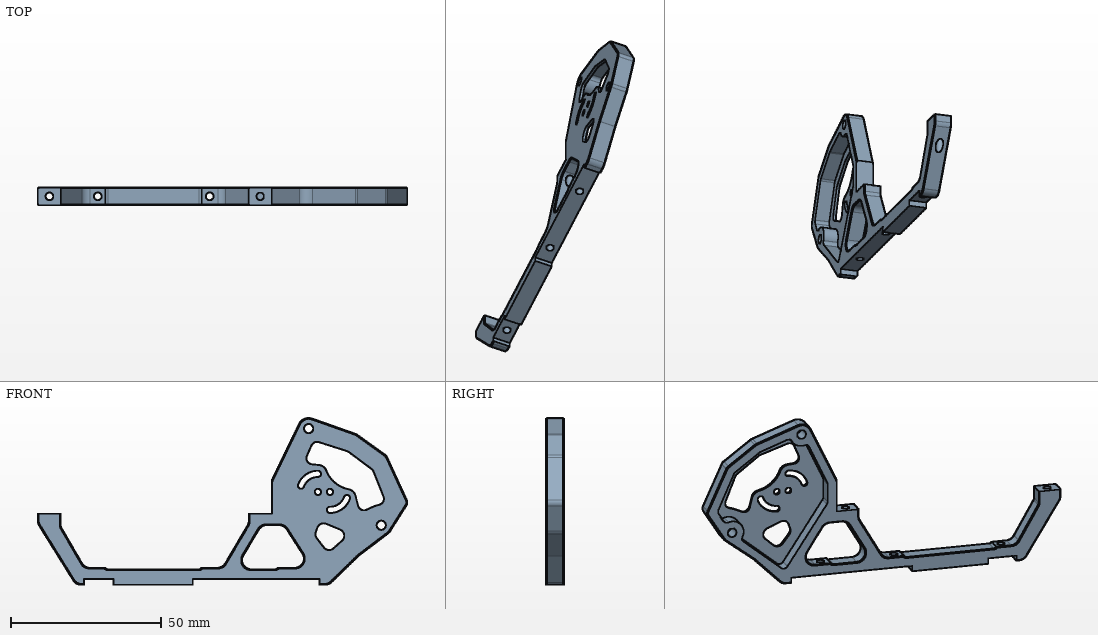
import cadquery as cq
import math


length = 122.92
thickness = 6.0
edge_chamfer = 0.35

seat_z = 23.7
foot_width = 7.7
shelf_left_x = 70.2
shelf_right_x = 77.9
outer_bend_z = 21.3
inner_bend_z = 19.7
bend_radius = 3.0
inner_bend_radius = 1.5

floor_z = 5.2
ledge_height = 0.5
ledge_z = floor_z + ledge_height
ledge_blend_radius = 1.0
foot_ledge_start_x = 17.3
foot_ledge_end_x = 22.42
truss_ledge_start_x = 54.5
truss_ledge_end_x = 59.8

underside_z = 1.9
toe_bend_x = 14.4
toe_x = 15.4
pad_start_x = 25.2
pad_end_x = 51.6
heel_x = 93.7
heel_bend_x = 95.6

rear_elbow = (106.8, 9.7)
nose_z = 27.4
nose_radius = 2.0
front_corner = (114.16, 41.38)
front_corner_radius = 2.3
top_corner = (104.6, 47.4)
top_corner_radius = 3.0
back_corner_z = 34.9

bolt_diameter = 3.0
bolt_edge_offset = 3.55
upper_bolt = (90.1, 51.95)
lower_bolt = (114.25, 19.8)
pin_diameter = 2.0
pin_z = 30.9
left_pin = (93.2, pin_z)
right_pin = (97.2, pin_z)
slot_radius = 6.0
slot_width = 2.0
slot_sweep = 70.0
upper_slot_start = 90.0
lower_slot_start = -90.0
screw_diameter = 2.5
foot_screw_x = 3.9
shelf_screw_x = 74.0
beam_screws_x = (20.0, 57.2, 82.7)

slot_wall = 2.0
bolt_wall = 5.25
valley_radius = 10.0
window_radius = 2.0
window_back = (91.4, 42.1)
window_lower = (108.5, 26.8)
window_nose = (113.1, 28.6)
window_front = (109.8, 36.9)
window_top = (102.3, 42.5)
window_upper_back = (92.9, 45.5)

small_window_radius = 2.2
small_window_centers = [(96.9, 13.8), (99.7, 16.3), (95.1, 18.2), (94.6, 16.8)]

web_thickness = 1.0
pocket_rim = 3.2
boss_radius = 4.0
pocket_radius = 1.5
pocket_bottom = (96.3, 6.9)
pocket_nose = (117.65, 27.75)
pocket_front = (112.3, 39.75)
pocket_top = (103.8, 45.9)
pocket_back_z = 33.6
pocket_truss_z = 27.4
lower_bolt_rear_edge = 217.5
lower_bolt_nose_edge = 59.2
upper_bolt_top_edge = -19.0
upper_bolt_back_edge = -116.0

truss_radius = 3.0
truss_window_top_z = 19.8
truss_bottom_left_x = 70.98
truss_bottom_right_x = 85.5
truss_top_left_x = 76.1
truss_top_right_x = 80.3
window_ledge_start_x = 79.9


def tangent_outline(corners):
    """Closed wire around corners (x, z, radius), listed counter-clockwise.

    A positive radius turns left, a negative one turns right and zero is a sharp corner.
    Straight lines run tangent from each corner circle to the next.
    """
    normals = []
    for (x1, z1, r1), (x2, z2, r2) in zip(corners, corners[1:] + corners[:1]):
        span = math.hypot(x2 - x1, z2 - z1)
        ux = (x2 - x1) / span
        uz = (z2 - z1) / span
        along = max(-1.0, min(1.0, (r2 - r1) / span))
        across = math.sqrt(1 - along**2)
        normals.append((along * ux - across * uz, along * uz + across * ux))

    path = None
    position = None
    shortest_line = 1e-4
    for i, (x, z, radius) in enumerate(corners):
        before = normals[i - 1]
        after = normals[i]
        bisector = math.hypot(before[0] + after[0], before[1] + after[1])
        halfway = ((before[0] + after[0]) / bisector, (before[1] + after[1]) / bisector)
        entry, middle, leave = [(x - radius * nx, z - radius * nz) for nx, nz in (before, halfway, after)]
        if path is None:
            path = cq.Workplane("XZ").moveTo(*entry)
        elif math.dist(position, entry) > shortest_line:
            path = path.lineTo(*entry)
        if radius != 0:
            path = path.threePointArc(middle, leave)
        position = leave
    return path.close()


def full_thickness(outline):
    return outline.extrude(thickness / 2, both=True)


def polar_point(center, radius, degrees):
    angle = math.radians(degrees)
    return (center[0] + radius * math.cos(angle), center[1] + radius * math.sin(angle))


def ledge_blend(ledge_x, direction, radius):
    """Corner arc from a ledge edge down to the floor, which lies in the given X direction."""
    run = math.sqrt(ledge_blend_radius**2 - (floor_z + ledge_blend_radius - ledge_z) ** 2)
    return (ledge_x + direction * run, floor_z + ledge_blend_radius, radius)


def bracket_plate():
    underside = [
        (bend_radius, outer_bend_z, bend_radius),
        (toe_bend_x, bend_radius, bend_radius),
        (toe_x, 0, 0),
        (toe_x, underside_z, 0),
        (pad_start_x, underside_z, 0),
        (pad_start_x, 0, 0),
        (pad_end_x, 0, 0),
        (pad_end_x, underside_z, 0),
        (heel_x, underside_z, 0),
        (heel_x, 0, 0),
        (heel_bend_x, bend_radius, bend_radius),
    ]
    pivot_plate = [
        (*rear_elbow, 0),
        (*lower_bolt, bolt_edge_offset),
        (length - nose_radius, nose_z, nose_radius),
        (*front_corner, front_corner_radius),
        (*top_corner, top_corner_radius),
        (*upper_bolt, bolt_edge_offset),
        (shelf_right_x, back_corner_z, 0),
    ]
    shelf_beam_and_foot = [
        (shelf_right_x, seat_z, 0),
        (shelf_left_x, seat_z, 0),
        (shelf_left_x - bend_radius, outer_bend_z, -bend_radius),
        (truss_ledge_end_x, ledge_z + bend_radius, -bend_radius),
        (truss_ledge_start_x, ledge_z, 0),
        ledge_blend(truss_ledge_start_x, -1, -ledge_blend_radius),
        ledge_blend(foot_ledge_end_x, 1, -ledge_blend_radius),
        (foot_ledge_end_x, ledge_z, 0),
        (foot_ledge_start_x, ledge_z + bend_radius, -bend_radius),
        (foot_width + inner_bend_radius, inner_bend_z, -inner_bend_radius),
        (foot_width, seat_z, 0),
        (0, seat_z, 0),
    ]
    return full_thickness(tangent_outline(underside + pivot_plate + shelf_beam_and_foot))


def truss_window():
    top_center_z = truss_window_top_z - truss_radius
    corners = [
        (truss_bottom_left_x, floor_z + truss_radius, truss_radius),
        ledge_blend(window_ledge_start_x, -1, ledge_blend_radius),
        (window_ledge_start_x, ledge_z, 0),
        (truss_bottom_right_x, ledge_z + truss_radius, truss_radius),
        (truss_top_right_x, top_center_z, truss_radius),
        (truss_top_left_x, top_center_z, truss_radius),
    ]
    return full_thickness(tangent_outline(corners))


def valley_center(first, second, bump_radius):
    """Centre of the hollow arc that touches both bump circles on their upper right side."""
    dx = second[0] - first[0]
    dz = second[1] - first[1]
    span = math.hypot(dx, dz)
    rise = math.sqrt((bump_radius + valley_radius) ** 2 - (span / 2) ** 2)
    return ((first[0] + second[0]) / 2 - rise * dz / span, (first[1] + second[1]) / 2 + rise * dx / span)


def large_window():
    upper_slot_end = polar_point(left_pin, slot_radius, upper_slot_start)
    lower_slot_end = polar_point(right_pin, slot_radius, lower_slot_start + slot_sweep)
    bump_radius = slot_width / 2 + slot_wall
    corners = [
        (*window_back, window_radius),
        (*upper_slot_end, -bump_radius),
        (*valley_center(upper_slot_end, lower_slot_end, bump_radius), valley_radius),
        (*lower_slot_end, -bump_radius),
        (*window_lower, window_radius),
        (*lower_bolt, -(bolt_diameter / 2 + bolt_wall)),
        (*window_nose, window_radius),
        (*window_front, window_radius),
        (*window_top, window_radius),
        (*window_upper_back, window_radius),
    ]
    return full_thickness(tangent_outline(corners))


def small_window():
    corners = [(x, z, small_window_radius) for x, z in small_window_centers]
    return full_thickness(tangent_outline(corners))


def boss_corner(bolt, edge_direction, inward):
    """Pocket corner between a bolt boss and the rim wall along a plate edge.

    The plate lies counter-clockwise of the edge direction when inward is 1, clockwise when -1.
    """
    reach = boss_radius + pocket_radius
    inset = pocket_rim + pocket_radius - bolt_edge_offset
    turn = math.degrees(math.asin(inset / reach))
    return (*polar_point(bolt, reach, edge_direction + inward * turn), pocket_radius)


def web_pocket():
    back_x = shelf_right_x + pocket_rim + pocket_radius
    corners = [
        (*pocket_bottom, pocket_radius),
        boss_corner(lower_bolt, lower_bolt_rear_edge, -1),
        (*lower_bolt, -boss_radius),
        boss_corner(lower_bolt, lower_bolt_nose_edge, 1),
        (*pocket_nose, pocket_radius),
        (*pocket_front, pocket_radius),
        (*pocket_top, pocket_radius),
        boss_corner(upper_bolt, upper_bolt_top_edge, -1),
        (*upper_bolt, -boss_radius),
        boss_corner(upper_bolt, upper_bolt_back_edge, 1),
        (back_x, pocket_back_z, pocket_radius),
        (back_x, pocket_truss_z, pocket_radius),
    ]
    web_back_y = web_thickness - thickness / 2
    depth = thickness - web_thickness
    return tangent_outline(corners).extrude(-depth).translate((0, web_back_y, 0))


def arc_slot(pin, start):
    end = start + slot_sweep
    middle = start + slot_sweep / 2
    half_width = slot_width / 2
    inner = slot_radius - half_width
    outer = slot_radius + half_width
    start_tip = polar_point(polar_point(pin, slot_radius, start), half_width, start - 90)
    end_tip = polar_point(polar_point(pin, slot_radius, end), half_width, end + 90)
    return full_thickness(
        cq.Workplane("XZ")
        .moveTo(*polar_point(pin, outer, start))
        .threePointArc(polar_point(pin, outer, middle), polar_point(pin, outer, end))
        .threePointArc(end_tip, polar_point(pin, inner, end))
        .threePointArc(polar_point(pin, inner, middle), polar_point(pin, inner, start))
        .threePointArc(start_tip, polar_point(pin, outer, start))
        .close()
    )


def cross_hole(center, diameter):
    return full_thickness(cq.Workplane("XZ").center(*center).circle(diameter / 2))


def screw_hole(x, bottom_z, top_z):
    profile = cq.Workplane("XY", origin=(x, 0, bottom_z)).circle(screw_diameter / 2)
    return profile.extrude(top_z - bottom_z)


def is_chamfered(edge):
    """Face edges are chamfered, except on upright sides, the seats and the flat underside."""
    tolerance = 1e-3
    center = edge.Center()
    if abs(abs(center.y) - thickness / 2) > tolerance:
        return False
    if edge.geomType() != "LINE":
        return True
    direction = edge.tangentAt(0)
    upright = abs(direction.x) < tolerance
    level = abs(direction.z) < tolerance
    on_seat = center.z > seat_z - tolerance
    on_underside = center.z < underside_z + tolerance
    return not upright and not (level and (on_seat or on_underside))


body = bracket_plate().cut(truss_window())
chamfered_edges = [edge for edge in body.edges().vals() if is_chamfered(edge)]
body = body.newObject(chamfered_edges).chamfer(edge_chamfer)

body = body.cut(web_pocket())
body = body.cut(large_window()).cut(small_window())
body = body.cut(arc_slot(left_pin, upper_slot_start)).cut(arc_slot(right_pin, lower_slot_start))
for bolt in (upper_bolt, lower_bolt):
    body = body.cut(cross_hole(bolt, bolt_diameter))
for pin in (left_pin, right_pin):
    body = body.cut(cross_hole(pin, pin_diameter))

body = body.cut(screw_hole(foot_screw_x, 0, seat_z))
body = body.cut(screw_hole(shelf_screw_x, truss_window_top_z - 2 * truss_radius, seat_z))
for screw_x in beam_screws_x:
    body = body.cut(screw_hole(screw_x, 0, ledge_z))

result = body